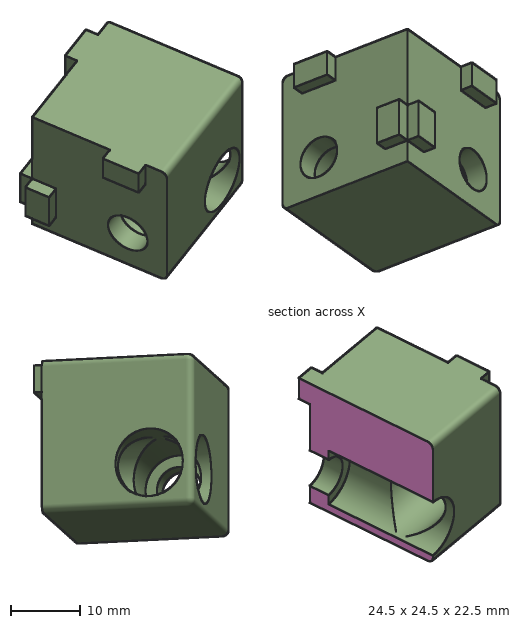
import cadquery as cq

body_size = 22.5
tab_height = 2.0
tab_length = 6.0
tab_width = 4.0
edge_radius = 1.0
hole_diameter = 6.6
bore_diameter = 10.0
seat_thickness = 3.45
hole_edge_distance = 6.55

hole_height = hole_edge_distance
hole_offset = body_size - hole_edge_distance


def block(x, y, z, length_x, length_y, length_z):
    """Box with its lowest corner at (x, y, z)."""
    return cq.Workplane("XY").box(length_x, length_y, length_z, centered=False).translate((x, y, z))


def rounded_body():
    """Cube rounded on the edges of its +X and +Y faces that lie away from the tabbed faces."""
    body = block(0, 0, 0, body_size, body_size, body_size)
    rounded_edges = "(>X and >Y) or (>X and >Z) or (>X and <Z) or (>Y and >Z) or (>Y and <Z)"
    return body.edges(rounded_edges).fillet(edge_radius)


def front_tabs():
    """Two tabs on the -Y face: one at the top edge above the hole, one beside the -X corner."""
    top_tab = block(
        hole_offset - tab_length / 2, -tab_height, body_size - tab_width,
        tab_length, tab_height, tab_width,
    )
    corner_tab = block(
        0, -tab_height, hole_height - tab_length / 2,
        tab_width, tab_height, tab_length,
    )
    return top_tab.union(corner_tab)


def cylinder_along_y(diameter, start_y):
    """Cylinder on the hole axis, from start_y to the +Y face."""
    return (
        cq.Workplane("XZ", origin=(hole_offset, start_y, hole_height))
        .circle(diameter / 2)
        .extrude(start_y - body_size)
    )


def front_hole():
    """Through hole along Y, counterbored from the +Y face."""
    return cylinder_along_y(hole_diameter, 0).union(cylinder_along_y(bore_diameter, seat_thickness))


def swap_x_and_y(solid):
    """Mirror across the vertical diagonal plane x = y."""
    return solid.rotate((0, 0, 0), (0, 0, 1), 90).mirror("YZ")


result = rounded_body()
for tabs in (front_tabs(), swap_x_and_y(front_tabs())):
    result = result.union(tabs)
for hole in (front_hole(), swap_x_and_y(front_hole())):
    result = result.cut(hole)